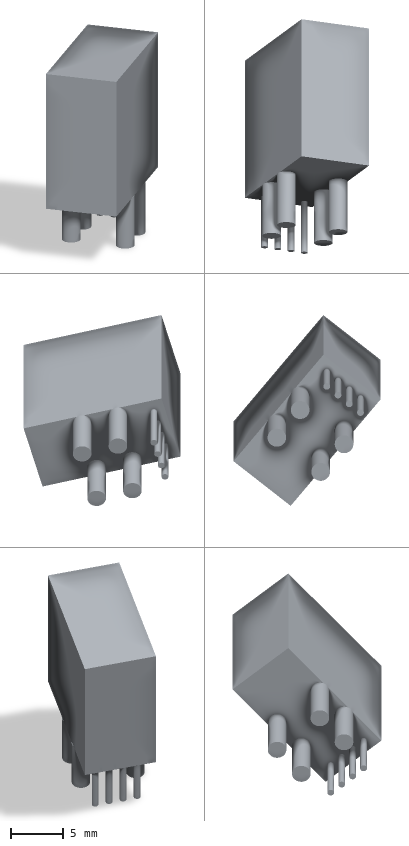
import cadquery as cq

total_width = 7.2
total_height = 19.0

housing_width = 7.07
housing_depth = 13.68
pin_length = 5.13
housing_height = total_height - pin_length
housing_back = housing_depth / 2

thick_pin_diameter = 1.79
thick_pin_x = (total_width - thick_pin_diameter) / 2
thick_row_pitch = 3.55
rear_thick_row_y = housing_back - 4.55
front_thick_row_y = rear_thick_row_y - thick_row_pitch

thin_pin_diameter = 0.65
thin_pin_count = 4
thin_pin_pitch = 1.39
thin_row_offset_x = 0.13
thin_row_y = housing_back - 1.1
first_thin_pin_x = thin_row_offset_x - thin_pin_pitch * (thin_pin_count - 1) / 2


def make_housing():
    """Block whose underside rests on the pin tops."""
    return (
        cq.Workplane("XY")
        .workplane(offset=pin_length)
        .rect(housing_width, housing_depth)
        .extrude(housing_height)
    )


def make_pin(x, y, diameter):
    """Upright round pin from Z = 0 to the housing underside."""
    return cq.Workplane("XY").center(x, y).circle(diameter / 2).extrude(pin_length)


housing = make_housing()

thick_pins = [
    make_pin(x, y, thick_pin_diameter)
    for x in (-thick_pin_x, thick_pin_x)
    for y in (front_thick_row_y, rear_thick_row_y)
]

thin_pins = [
    make_pin(first_thin_pin_x + i * thin_pin_pitch, thin_row_y, thin_pin_diameter)
    for i in range(thin_pin_count)
]

result = cq.Compound.makeCompound(
    [housing.val(), *[pin.val() for pin in thick_pins + thin_pins]]
)